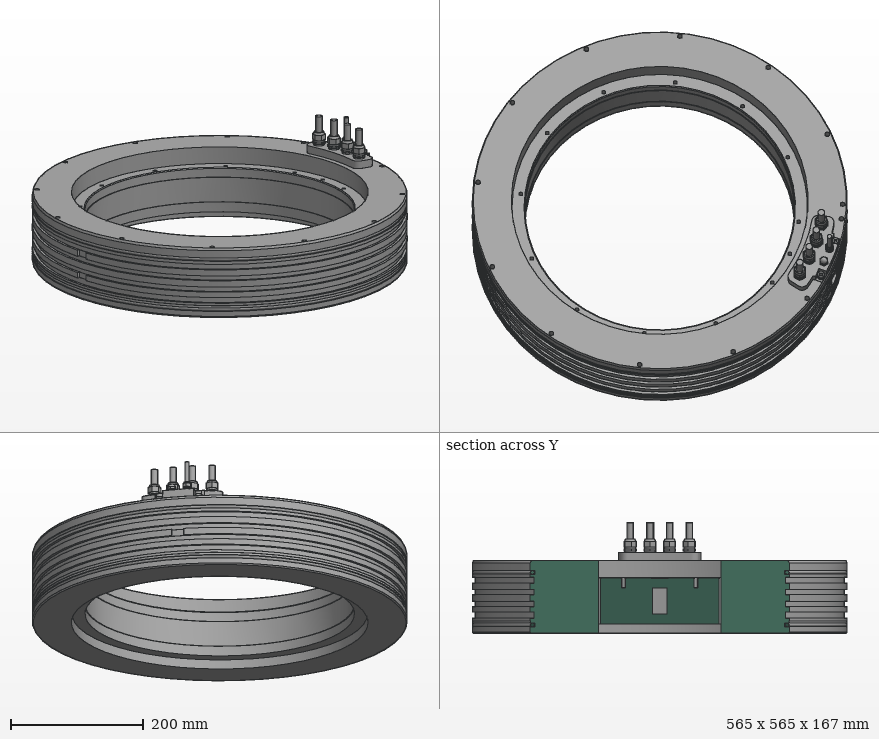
import cadquery as cq
import math

stator_radius = 282.5
stator_bore_radius = 223.5
stator_height = 110.0
jacket_inner_radius = 266.0
lead_in_depth = 1.6
top_lead_in_height = 3.8
bottom_lead_in_height = 2.2

channel_floor_radius = 278.3
channel_spans = [(23.0, 32.0), (40.5, 48.5), (58.5, 66.0), (75.7, 84.5)]
transfer_slot_width = 18.6

seal_section = 5.2
seal_heights = [12.8, 91.9]
leak_groove_bottom = 17.0
leak_groove_top = 19.0
leak_groove_depth = 0.6

rotor_outer_radius = 222.5
rotor_bore_radius = 203.0
rotor_bottom = 14.0
rotor_top = 84.0
rotor_lip_height = 15.5
rotor_recess_depth = 1.0
rotor_chamfer = 1.5

hole_count = 12
first_hole_angle = 15.0
stator_hole_diameter = 6.8
rotor_hole_diameter = 5.5
hole_depth = 15.0
stator_hole_radius = 275.5
stator_extra_hole_angle = 110.0
rotor_hole_radius = 210.5
rotor_extra_hole_angle = 90.0

block_height = 12.0
block_top = stator_height + block_height
block_inner_radius = 232.5
block_half_angle = 14.05
block_corner_radius = 10.0
tab_half_width = 38.4
tab_outer_radius = 280.0
tab_corner_radius = 2.0
notch_inner_x = 24.0
notch_inner_y = 266.8
notch_floor = stator_height + 0.5

screw_x = 30.0
screw_y = 272.6
screw_head_diameter = 10.0
screw_head_height = 8.0
screw_flange_diameter = 11.0
screw_flange_height = 3.0
screw_socket_diameter = 4.5
screw_socket_depth = 4.0

cable_top = 167.0
power_gland_radius = 248.0
power_gland_angles = [-10.35, -3.45, 3.45, 10.35]
power_gland_flats = 17.4
power_gland_height = 20.5
power_cable_diameter = 10.0
signal_radius = 270.2
signal_angle = 2.5
signal_gland_flats = 11.5
signal_gland_height = 13.0
signal_cable_diameter = 6.5
blind_gland_height = 8.0
gland_neck_ratio = 0.94
gland_cone_end_ratio = 0.82
gland_lock_nut_bottom_ratio = 0.12
gland_lock_nut_top_ratio = 0.24
gland_cap_bottom_ratio = 0.4
gland_cap_top_ratio = 0.82


def polar(radius, angle_from_y):
    """Point at a radius and an angle measured clockwise from +Y."""
    angle = math.radians(angle_from_y)
    return (radius * math.sin(angle), radius * math.cos(angle))


def revolved(points):
    """Solid of revolution about Z from (radius, z) points."""
    profile = cq.Workplane("YZ").polyline([(-radius, z) for radius, z in points]).close()
    return profile.revolve(360, (0, 0, 0), (0, 1, 0), clean=False)


def cylinder(x, y, bottom, diameter, height):
    """Upright cylinder centred on (x, y)."""
    return cq.Workplane("XY", origin=(x, y, bottom)).circle(diameter / 2).extrude(height)


def mounting_holes(radius, diameter, top, extra_angle):
    """Even circle of blind holes from a top face, with one extra hole at its own angle."""
    even_angles = [first_hole_angle + i * 360 / hole_count for i in range(hole_count)]
    points = []
    for angle in even_angles + [extra_angle]:
        points.append(polar(radius, 90 - angle))
    plane = cq.Workplane("XY", origin=(0, 0, top - hole_depth))
    return plane.pushPoints(points).circle(diameter / 2).extrude(hole_depth)


def stator_ring():
    """Jacket and core; the profile's extra point keeps the parting circle as an edge of the top face."""
    end_radius = stator_radius - lead_in_depth
    points = [(stator_bore_radius, 0), (end_radius, 0), (stator_radius, bottom_lead_in_height)]
    grooves = [(low, high, channel_floor_radius) for low, high in channel_spans]
    for height in seal_heights:
        half = seal_section / 2
        grooves.append((height - half, height + half, stator_radius - seal_section))
    grooves.append((leak_groove_bottom, leak_groove_top, stator_radius - leak_groove_depth))
    for low, high, floor in sorted(grooves):
        floor_start = high if low == leak_groove_bottom else low
        points += [(stator_radius, low), (floor, floor_start)]
        if floor_start < high:
            points.append((floor, high))
        points.append((stator_radius, high))
    points += [
        (stator_radius, stator_height - top_lead_in_height),
        (end_radius, stator_height),
        (jacket_inner_radius, stator_height),
        (stator_bore_radius, stator_height),
    ]
    return revolved(points)


def transfer_slot(low, high, side):
    """Flat-bottomed slot across a rib, as deep as the channels; side is -1 for -Y and 1 for +Y."""
    depth = stator_radius - channel_floor_radius
    slot = cq.Workplane("XY").box(transfer_slot_width, depth, high - low, centered=(True, True, False))
    return slot.translate((0, side * (stator_radius - depth / 2), low))


def terminal_block():
    """Ring sector with rounded corners and a tab that reaches out to the rim."""
    left_inner = polar(block_inner_radius, -block_half_angle)
    left_outer = polar(jacket_inner_radius, -block_half_angle)
    right_inner = polar(block_inner_radius, block_half_angle)
    right_outer = polar(jacket_inner_radius, block_half_angle)
    sector = (
        cq.Workplane("XY", origin=(0, 0, stator_height))
        .moveTo(*left_inner)
        .threePointArc((0, block_inner_radius), right_inner)
        .lineTo(*right_outer)
        .threePointArc((0, jacket_inner_radius), left_outer)
        .close()
        .extrude(block_height)
        .edges("|Z")
        .fillet(block_corner_radius)
    )
    tab_start_y = (block_inner_radius + jacket_inner_radius) / 2
    tab_end_y = math.sqrt(tab_outer_radius**2 - tab_half_width**2)
    tab = (
        cq.Workplane("XY", origin=(0, 0, stator_height))
        .moveTo(-tab_half_width, tab_start_y)
        .lineTo(tab_half_width, tab_start_y)
        .lineTo(tab_half_width, tab_end_y)
        .threePointArc((0, tab_outer_radius), (-tab_half_width, tab_end_y))
        .close()
        .extrude(block_height)
    )
    tab_root_y = math.sqrt(jacket_inner_radius**2 - tab_half_width**2)
    root_size = 2 * tab_corner_radius
    block = sector.union(tab)
    tab_roots = cq.selectors.BoxSelector(
        (-tab_half_width - root_size, tab_root_y - root_size, 0),
        (tab_half_width + root_size, tab_root_y + root_size, block_top),
    )
    return block.edges("|Z").edges(tab_roots).fillet(tab_corner_radius)


def screw_notch(side):
    """Notch in one outer corner of the tab, open to the side, the rim and the top."""
    length = tab_half_width - notch_inner_x
    width = tab_outer_radius - notch_inner_y
    notch = cq.Workplane("XY").box(length, width, block_height, centered=(True, False, False))
    return notch.translate((side * (notch_inner_x + length / 2), notch_inner_y, notch_floor))


def fixing_screw(side):
    """Socket-head screw on a washer-like flange, standing on the notch floor."""
    x = side * screw_x
    flange = cylinder(x, screw_y, notch_floor, screw_flange_diameter, screw_flange_height)
    head = cylinder(x, screw_y, notch_floor, screw_head_diameter, screw_head_height)
    socket_bottom = notch_floor + screw_head_height - screw_socket_depth
    socket = cylinder(x, screw_y, socket_bottom, screw_socket_diameter, screw_socket_depth)
    return flange.union(head).cut(socket)


def hexagon(flats, bottom, height):
    """Hexagonal prism on the Z axis with two corners on the Y axis."""
    corners = flats / math.cos(math.pi / 6)
    prism = cq.Workplane("XY", origin=(0, 0, bottom)).polygon(6, corners).extrude(height)
    return prism.rotate((0, 0, 0), (0, 0, 1), 30)


def gland_body(flats, height):
    """Foot, lock nut, neck and cap nut of a gland, standing on the origin."""
    lock_nut_bottom = gland_lock_nut_bottom_ratio * height
    lock_nut_top = gland_lock_nut_top_ratio * height
    cap_bottom = gland_cap_bottom_ratio * height
    cap_top = gland_cap_top_ratio * height
    foot = cylinder(0, 0, 0, gland_neck_ratio * flats, cap_bottom)
    lock_nut = hexagon(flats, lock_nut_bottom, lock_nut_top - lock_nut_bottom)
    cap_nut = hexagon(flats, cap_bottom, cap_top - cap_bottom)
    return foot.union(lock_nut).union(cap_nut)


def placed_on_block(fitting, radius, angle):
    """Turn a fitting to face the ring's centre and set it on the block's top."""
    x, y = polar(radius, angle)
    return fitting.rotate((0, 0, 0), (0, 0, 1), -angle).translate((x, y, block_top))


def cable_gland(flats, height, cable_diameter):
    """Gland with a coned end, holding its cable."""
    cap_top = gland_cap_top_ratio * height
    cone = (
        cq.Workplane("XY", origin=(0, 0, cap_top))
        .circle(flats / 2)
        .workplane(offset=height - cap_top)
        .circle(gland_cone_end_ratio * flats / 2)
        .loft()
    )
    cable_bottom = height / 2
    cable = cylinder(0, 0, cable_bottom, cable_diameter, cable_top - block_top - cable_bottom)
    return gland_body(flats, height).union(cone).union(cable)


def blind_gland(flats, height):
    """Gland closed by a dome instead of a cable."""
    radius = flats / 2
    cap_top = gland_cap_top_ratio * height
    dome = cq.Workplane("XY", origin=(0, 0, cap_top)).sphere(radius)
    dome = dome.intersect(cylinder(0, 0, cap_top, flats, radius))
    return gland_body(flats, height).union(dome)


def build_stator():
    """Ring with its cooling channels, terminal block, screws and glands in one solid."""
    stator = stator_ring()
    for i in range(len(channel_spans) - 1):
        rib_bottom = channel_spans[i][1]
        rib_top = channel_spans[i + 1][0]
        side = -1 if i % 2 == 0 else 1
        stator = stator.cut(transfer_slot(rib_bottom, rib_top, side), clean=False)
    holes = mounting_holes(stator_hole_radius, stator_hole_diameter, stator_height, stator_extra_hole_angle)
    stator = stator.cut(holes, clean=False)
    terminals = terminal_block()
    for side in (-1, 1):
        terminals = terminals.cut(screw_notch(side)).union(fixing_screw(side))
    power_gland = cable_gland(power_gland_flats, power_gland_height, power_cable_diameter)
    for angle in power_gland_angles:
        terminals = terminals.union(placed_on_block(power_gland, power_gland_radius, angle))
    signal_gland = cable_gland(signal_gland_flats, signal_gland_height, signal_cable_diameter)
    spare_gland = blind_gland(signal_gland_flats, blind_gland_height)
    terminals = terminals.union(placed_on_block(signal_gland, signal_radius, -signal_angle))
    terminals = terminals.union(placed_on_block(spare_gland, signal_radius, signal_angle))
    return stator.union(terminals, clean=False)


def build_rotor():
    """Ring inside the stator bore, its own bore recessed between two lips."""
    recess_radius = rotor_bore_radius + rotor_recess_depth
    recess_bottom = rotor_bottom + rotor_lip_height
    recess_top = rotor_top - rotor_lip_height
    ring = revolved([
        (rotor_outer_radius, rotor_bottom),
        (rotor_outer_radius, rotor_top),
        (rotor_bore_radius + rotor_chamfer, rotor_top),
        (rotor_bore_radius, rotor_top - rotor_chamfer),
        (rotor_bore_radius, recess_top),
        (recess_radius, recess_top),
        (recess_radius, recess_bottom),
        (rotor_bore_radius, recess_bottom),
        (rotor_bore_radius, rotor_bottom),
    ])
    return ring.cut(mounting_holes(rotor_hole_radius, rotor_hole_diameter, rotor_top, rotor_extra_hole_angle))


def build_seal(height):
    """O-ring that fills its groove up to the jacket's outer surface."""
    section_radius = seal_section / 2
    ring_radius = stator_radius - section_radius
    section = cq.Workplane("YZ").center(-ring_radius, height).circle(section_radius)
    return section.revolve(360, (ring_radius, 0, 0), (ring_radius, 1, 0))


stator = build_stator()
rotor = build_rotor()
seals = [build_seal(height) for height in seal_heights]

result = cq.Compound.makeCompound([stator.val(), rotor.val(), *[seal.val() for seal in seals]])